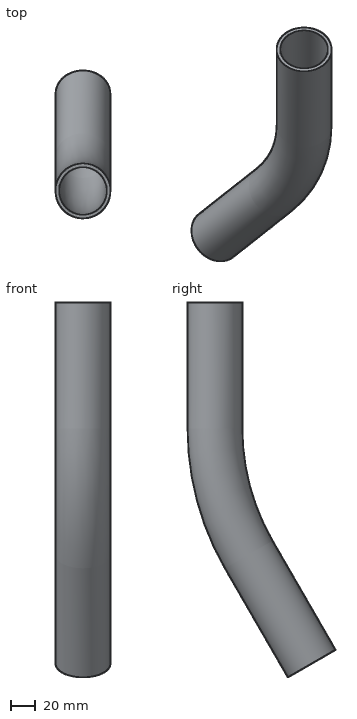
import cadquery as cq
import math

outer_diameter = 44.45
inner_diameter = 38.35
leg_length = 101.6
bend_radius = 203.2
bend_angle = 30.0


def point_on_bend(angle_degrees):
    """Centreline point (Y, Z) after turning through the given angle; the bend starts at the origin."""
    angle = math.radians(angle_degrees)
    return (bend_radius * (1 - math.cos(angle)), -bend_radius * math.sin(angle))


def tube_centreline():
    """Path in the YZ plane from the top of the vertical leg to the end of the lower leg."""
    bend_end_y, bend_end_z = point_on_bend(bend_angle)
    angle = math.radians(bend_angle)
    lower_end = (
        bend_end_y + leg_length * math.sin(angle),
        bend_end_z - leg_length * math.cos(angle),
    )
    return (
        cq.Workplane("YZ")
        .moveTo(0, leg_length)
        .lineTo(0, 0)
        .threePointArc(point_on_bend(bend_angle / 2), (bend_end_y, bend_end_z))
        .lineTo(*lower_end)
    )


tube_section = (
    cq.Workplane("XY")
    .workplane(offset=leg_length)
    .circle(outer_diameter / 2)
    .circle(inner_diameter / 2)
)

result = tube_section.sweep(tube_centreline())